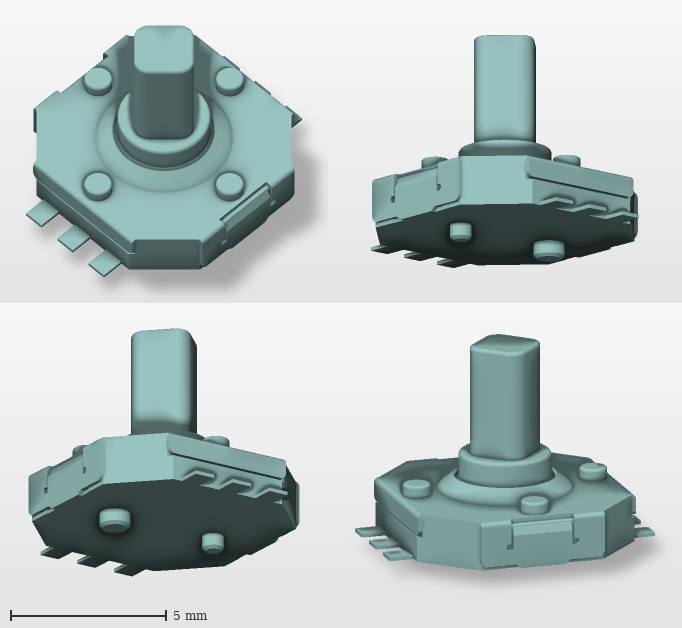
import cadquery as cq

body_height = 1.6
dome_top = 2.03
stud_top = 2.0
collar_top = 2.8
shaft_top = 6.4
peg_depth = 0.5

base_half = 3.7
base_edge_half = 2.1
ledge_height = 0.82
sheet = 0.15
recessed_half = base_half - sheet
diagonal_sum = base_half + base_edge_half
recessed_edge_half = diagonal_sum - recessed_half

pad_half_x = 3.73
foot_pad_height = 0.27
foot_pad_inner = 1.21

cover_half_x = base_half + sheet
bend_radius = 0.15
relief_fillet = 0.2
side_flap_bottom = 0.135
side_flap_corner = 0.225
front_flap_bottom = 0.9
front_flap_corner = 0.2
tab_half_bottom = 0.76
tab_half_top = 0.92

slot_inner = 0.99
slot_outer = 1.07
slot_bottom = 0.62
slot_foot_top = 0.84
slot_foot_end = 1.23
slot_foot_fillet = 0.09
window_inner_x = 3.58
tongue_top = 1.38
tongue_bend_height = 1.11
pad_edge_radius = 0.07

dome_radius = 2.205
dome_rim_radius = 1.67
dome_hole_radius = 1.62
rim_slope = (dome_radius - dome_rim_radius) / (dome_top - body_height)

stud_diameter = 0.9
stud_offset = 3.0
stud_fillet = 0.1
peg_offset = 1.9
small_peg_diameter = 0.7
large_peg_diameter = 1.0
peg_chamfer = 0.1
lead_width = 0.7
lead_pitch = 1.42
lead_thickness = 0.12
lead_reach = 4.5

collar_diameter = 3.0
collar_radius = collar_diameter / 2
collar_fillet = 0.13
skirt_top = 2.0
square_side = 1.94
square_corner = 0.495
shaft_edge_fillet = 0.13


def box(x0, x1, y0, y1, z0, z1):
    return cq.Workplane("XY").box(x1 - x0, y1 - y0, z1 - z0, centered=False).translate((x0, y0, z0))


def octagon(half_y, edge_half_x, z0, z1):
    """Prism whose diagonal faces lie on the same four planes for every half_y."""
    points = [
        (base_half, base_edge_half),
        (edge_half_x, half_y),
        (-edge_half_x, half_y),
        (-base_half, base_edge_half),
        (-base_half, -base_edge_half),
        (-edge_half_x, -half_y),
        (edge_half_x, -half_y),
        (base_half, -base_edge_half),
    ]
    return cq.Workplane("XY").workplane(offset=z0).polyline(points).close().extrude(z1 - z0)


def revolved(points):
    """Solid of revolution about Z from (radius, height) points."""
    return cq.Workplane("XZ").polyline(points).close().revolve(360, (0, 0, 0), (0, 1, 0))


def both_ends(feature):
    """The feature together with its copy turned half a revolution about Z."""
    return feature.union(feature.rotate((0, 0, 0), (0, 0, 1), 180))


def make_foot_pads():
    """Two low pads on the -X side, each ending flush with a diagonal face of the octagon."""
    outer_edge_half = diagonal_sum - pad_half_x
    pad = (
        cq.Workplane("XY")
        .polyline(
            [
                (-base_half, foot_pad_inner),
                (-pad_half_x, foot_pad_inner),
                (-pad_half_x, outer_edge_half),
                (-base_half, base_edge_half),
            ]
        )
        .close()
        .extrude(foot_pad_height)
    )
    return pad.union(pad.mirror("XZ"))


def make_base():
    lower = octagon(base_half, base_edge_half, 0, ledge_height)
    upper = octagon(recessed_half, recessed_edge_half, 0, body_height - sheet)
    return lower.union(upper).union(both_ends(make_foot_pads()))


def make_top_plate():
    """Top sheet, with concave fillets where the flaps leave the octagon and rounded bends."""
    bottom = body_height - sheet
    plate = octagon(recessed_half, recessed_edge_half, bottom, body_height)
    plate = plate.union(
        box(-cover_half_x, cover_half_x, -base_edge_half, base_edge_half, bottom, body_height)
    )
    plate = plate.union(
        box(-recessed_edge_half, recessed_edge_half, -base_half, base_half, bottom, body_height)
    )
    middle = (bottom + body_height) / 2
    for x, y in ((base_half, base_edge_half), (recessed_edge_half, recessed_half)):
        for corner in ((x, y), (-x, y), (-x, -y), (x, -y)):
            nearest = cq.selectors.NearestToPointSelector((*corner, middle))
            plate = plate.edges("|Z").edges(nearest).fillet(relief_fillet)
    rounded = box(-cover_half_x, cover_half_x, -base_half, base_half, 0, body_height)
    rounded = rounded.edges(">Z").fillet(bend_radius)
    return plate.intersect(rounded)


def make_side_flap():
    """Flap on the -X side, with rounded lower corners and a tapered tab down to the seating plane."""
    top = body_height - sheet
    flap = box(-cover_half_x, -base_half, -base_edge_half, base_edge_half, side_flap_bottom, top)
    flap = flap.edges("|X and <Z").fillet(side_flap_corner)
    tab = (
        cq.Workplane("YZ", origin=(-cover_half_x, 0, 0))
        .polyline(
            [
                (-tab_half_bottom, 0),
                (tab_half_bottom, 0),
                (tab_half_top, side_flap_bottom),
                (-tab_half_top, side_flap_bottom),
            ]
        )
        .close()
        .extrude(sheet)
    )
    return flap.union(tab)


def make_tongue_cut():
    """Slots and window that free the tongue of the -X flap and show the rounded pad edge behind it."""
    cut = box(-cover_half_x, -window_inner_x, -slot_outer, slot_outer, body_height - sheet, body_height)
    cut = cut.union(box(-cover_half_x, -pad_half_x, -slot_outer, slot_outer, tongue_top, body_height))
    for side in (-1, 1):
        foot = box(-cover_half_x, -pad_half_x, slot_inner, slot_foot_end, slot_bottom, slot_foot_top)
        foot = foot.edges("|X and >Y").fillet(slot_foot_fillet)
        slot = foot.union(box(-cover_half_x, -pad_half_x, slot_inner, slot_outer, slot_bottom, body_height))
        cut = cut.union(slot if side > 0 else slot.mirror("XZ"))
    slope = (
        cq.Workplane("XZ", origin=(0, slot_inner, 0))
        .polyline(
            [
                (-cover_half_x, tongue_bend_height),
                (-cover_half_x, tongue_top),
                (-pad_half_x, tongue_top),
            ]
        )
        .close()
        .extrude(2 * slot_inner)
    )
    corner = box(
        -pad_half_x,
        -pad_half_x + pad_edge_radius,
        -slot_outer,
        slot_outer,
        body_height - sheet - pad_edge_radius,
        body_height - sheet,
    )
    rounded_edge = (
        cq.Workplane("XZ")
        .center(-pad_half_x + pad_edge_radius, body_height - sheet - pad_edge_radius)
        .circle(pad_edge_radius)
        .extrude(slot_outer, both=True)
    )
    return cut.union(slope).union(corner.cut(rounded_edge))


def make_front_flap():
    """Flap on the -Y side, which ends above the base ledge."""
    flap = box(
        -recessed_edge_half,
        recessed_edge_half,
        -base_half,
        -recessed_half,
        front_flap_bottom,
        body_height - sheet,
    )
    return flap.edges("|Y and <Z").fillet(front_flap_corner)


def make_dome():
    return revolved(
        [
            (0, body_height),
            (dome_radius, body_height),
            (dome_rim_radius, dome_top),
            (0, dome_top),
        ]
    )


def make_dome_opening():
    """Round hole with a flared rim, down to the level of the top sheet."""
    flare_bottom = dome_top - (dome_rim_radius - dome_hole_radius) * rim_slope
    return revolved(
        [
            (0, body_height),
            (dome_hole_radius, body_height),
            (dome_hole_radius, flare_bottom),
            (dome_rim_radius, dome_top),
            (0, dome_top),
        ]
    )


def make_studs():
    stud = (
        cq.Workplane("XY")
        .workplane(offset=body_height)
        .circle(stud_diameter / 2)
        .extrude(stud_top - body_height)
        .faces(">Z")
        .edges()
        .fillet(stud_fillet)
        .translate((stud_offset, 0, 0))
    )
    studs = stud
    for angle in (90, 180, 270):
        studs = studs.union(stud.rotate((0, 0, 0), (0, 0, 1), angle))
    return studs


def make_peg(x, diameter):
    return (
        cq.Workplane("XY")
        .center(x, 0)
        .circle(diameter / 2)
        .extrude(-peg_depth)
        .faces("<Z")
        .edges()
        .chamfer(peg_chamfer)
    )


def make_leads():
    """Three flat leads along the -Y side."""
    leads = cq.Workplane("XY")
    for x in (-lead_pitch, 0, lead_pitch):
        leads = leads.union(
            box(x - lead_width / 2, x + lead_width / 2, -lead_reach, -base_half, 0, lead_thickness)
        )
    return leads


def make_housing():
    housing = make_base().union(make_top_plate())
    housing = housing.union(both_ends(make_side_flap())).union(both_ends(make_front_flap()))
    housing = housing.cut(both_ends(make_tongue_cut()))
    housing = housing.union(make_dome()).cut(make_dome_opening())
    housing = housing.union(make_studs())
    housing = housing.union(make_peg(-peg_offset, small_peg_diameter))
    housing = housing.union(make_peg(peg_offset, large_peg_diameter))
    return housing.union(both_ends(make_leads()))


def make_shaft():
    """Square shaft on a round collar, whose conical skirt stands in the dome opening."""
    skirt_bottom = skirt_top - (dome_hole_radius - collar_radius) * rim_slope
    collar = revolved(
        [
            (0, body_height),
            (dome_hole_radius, body_height),
            (dome_hole_radius, skirt_bottom),
            (collar_radius, skirt_top),
            (collar_radius, collar_top),
            (0, collar_top),
        ]
    )
    collar = collar.faces(">Z").edges().fillet(collar_fillet)
    square = (
        cq.Workplane("XY")
        .workplane(offset=collar_top)
        .rect(square_side, square_side)
        .extrude(shaft_top - collar_top)
        .edges("|Z")
        .fillet(square_corner)
        .faces(">Z")
        .edges()
        .fillet(shaft_edge_fillet)
        .rotate((0, 0, 0), (0, 0, 1), 45)
    )
    return collar.union(square)


housing = make_housing()
shaft = make_shaft()

result = cq.Compound.makeCompound([housing.solids().val(), shaft.solids().val()])